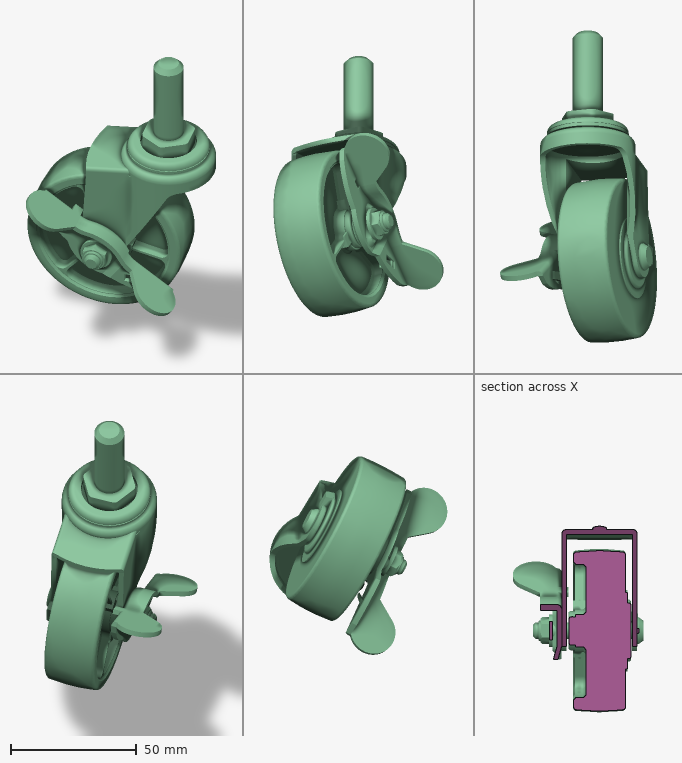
import cadquery as cq
import math


WHEEL_RADIUS = 32.5
STEM_TOP = 120 - WHEEL_RADIUS
AXLE_X = -24.0
AXLE_RADIUS = 3.2
SHEET = 2.0
TOLERANCE = 0.01

STEM_RADIUS = 6.0
STEM_CHAMFER = 1.9
HEX_FLATS = 19.1
HEX_CORNER_RADIUS = 2.3
HEX_TOP = 52.9

CAP_RADIUS = 16.3
CAP_TOP = 48.4
CAP_BOTTOM = 44.3
CAP_ROUND = 2.5
CAP_GROOVE_Z = 45.7
CAP_GROOVE = 0.4
CAP_NECK_RADIUS = 14.5
CAP_RECESS_RADIUS = 11.3
CAP_RECESS_DEPTH = 2.4

HEAD_RADIUS = 19.0
HEAD_TOP = 43.4
HEAD_BOTTOM = 36.0
HEAD_ROUND = 2.8
LEG_OUTER_Y = 15.0
LEG_INNER_Y = LEG_OUTER_Y - SHEET
LEG_END_RADIUS = 8.2
FRONT_X = -29.6
FRONT_Z = 38.5
NOSE_X = -32.4
ROOF_RISE = 0.17
LEG_SLOPE = 0.06
ROOF_END_X = -11.0
ROOF_BEND = 1.5
WAIST_START_X = -16.8
WAIST_TOP = 39.0
WAIST_FILLET = 4.9
SKIRT_X = 4.7
SKIRT_Z = 33.1
SKIRT_BEND = 5.4
LUG_HEIGHT = 7.7
LUG_ROUND = 1.2
LUG_TIP_X = -36.5
LUG_TIP_Y = 11.8
LUG_OUTER_X = -35.5
LUG_OUTER_Y = 15.4

WHEEL_HALF_WIDTH = 10.4
TREAD_EDGE_RADIUS = 31.8
TREAD_ROUND = 1.3
RIM_INNER_RADIUS = 28.0
RIM_STEP = 0.8
POCKET_OUTER_RADIUS = 26.9
POCKET_INNER_RADIUS = 8.4
POCKET_DEPTH = 4.2
POCKET_FLOOR_BEVEL = 1.0
POCKET_ROUND = 3.1
SPOKE_WIDTH = 1.0
SPOKE_COUNT = 3
SPOKE_ANGLE = 230
SPOKE_BLOCK_RADIUS = 12.0
SPOKE_BLOCK_WIDTH = 4.8
HUB_RADIUS = 7.8
HUB_FRONT_Y = -12.2
HUB_ROUND = 0.8
FLANGE_RADIUS = 16.2
FLANGE_Y = 11.2
HUB_DISC_RADIUS = 12.4
HUB_DISC_Y = 12.6
HUB_DISC_ROUND = 1.0

BOLT_HEAD_RADIUS = 5.4
BOLT_HEAD_Y = 17.6
BOLT_HEAD_TAPER = 2.0
BOLT_HEAD_INSET = 1.4
WASHER_RADIUS = 6.5
WASHER_THICKNESS = 1.4
NUT_FLATS = 9.4
NUT_CORNER_RADIUS = 5.5
NUT_HEIGHT = 3.4
COLLAR_RADIUS = 4.1
COLLAR_HEIGHT = 0.8
COLLAR_CHAMFER = 0.4
BOLT_TIP_Y = -26.4
BOLT_TIP_CHAMFER = 1.0

LEVER_BACK_Y = -LEG_OUTER_Y
LEVER_FRONT_Y = LEVER_BACK_Y - SHEET
FOLD_ROUND = 1.8
JOGGLE = 1.5
JOGGLE_X = -11.8
JOGGLE_Z = 1.3
JOGGLE_ANGLE = 56
JOGGLE_WIDTH = 3.1
PEDAL_TILT = 34
BRIM_START_X = -46.0
BRIM_START_Z = 24.8
BRIM_FRONT_Y = -23.5
LIFT_LENGTH = 17.5
PRESS_LENGTH = 18.2
ENTRY_LENGTH = 4.7
ARCH_LENGTH = 19.3
EXIT_LENGTH = 6.5
BRIM_CURL = 28
PEDAL_RADIUS = 9.2
PEDAL_NECK = 13.1
PEDAL_NECK_ANGLE = 39
LIFT_CENTER = (4.4, -25.2)
PRESS_CENTER = (12.6, -26.3)
TOE_END = (1.5, -15.4)
TOE_START = (-18.4, -11.4)
TOE_BULGE = (-8.3, -14.8)
HEEL_BULGE = (-32.9, -5.5)
HEEL_END = (-36.7, 1.7)
TAIL_BULGE = (-43.2, 9.2)
TAIL_END = (-47.0, 18.8)
CAM_HALF_LENGTH = 9.5
CAM_RADIUS = 3.5
CAM_HEIGHT = 1.5
STOP_TAB_START = 13.4
STOP_TAB_LENGTH = 3.8
STOP_TAB_Y = -12.2
STOP_NOTCH_DEPTH = 2.6
WINDOW_LEFT = -12.6
WINDOW_RIGHT = -5.3
WINDOW_TOP = -8.2
WINDOW_BOTTOM = -11.5
CATCH_TIP_Y = -13.9
CATCH_LEFT = -9.1
CATCH_RIGHT = -6.6
CATCH_THICKNESS = 1.2
CATCH_ROOT = 1.7
LEVER_REACH = 72


def front_plane(y):
    """Sketch plane at this Y: sketch x and y are X and Z, and it extrudes toward -Y."""
    return cq.Workplane("XZ", origin=(0, y, 0))


def axle_plane(y):
    """Like front_plane, with its origin on the axle."""
    return cq.Workplane("XZ", origin=(AXLE_X, y, 0))


def axle_cylinder(radius, y_back, y_front):
    return axle_plane(y_back).circle(radius).extrude(y_back - y_front)


def post(radius, z_bottom, z_top):
    return cq.Workplane("XY", origin=(0, 0, z_bottom)).circle(radius).extrude(z_top - z_bottom)


def make_stem():
    shaft = post(STEM_RADIUS, HEAD_TOP - SHEET, STEM_TOP).faces(">Z").chamfer(STEM_CHAMFER)
    seat_z = CAP_TOP - CAP_RECESS_DEPTH
    collar = (
        cq.Workplane("XY", origin=(0, 0, seat_z))
        .polygon(6, HEX_FLATS, circumscribed=True)
        .extrude(HEX_TOP - seat_z)
        .edges("|Z").fillet(HEX_CORNER_RADIUS)
    )
    return shaft.union(collar)


def make_race_cap():
    cap = post(CAP_RADIUS, CAP_BOTTOM, CAP_TOP).faces(">Z").edges().fillet(CAP_ROUND)
    groove = post(CAP_RADIUS, CAP_GROOVE_Z - CAP_GROOVE, CAP_GROOVE_Z)
    groove = groove.cut(post(CAP_RADIUS - CAP_GROOVE, HEAD_TOP, CAP_TOP))
    cap = cap.cut(groove)
    cap = cap.union(post(CAP_NECK_RADIUS, HEAD_TOP, CAP_BOTTOM))
    cap = cap.cut(post(CAP_RECESS_RADIUS, CAP_TOP - CAP_RECESS_DEPTH, CAP_TOP))
    return cap.cut(post(STEM_RADIUS, HEAD_TOP, CAP_TOP))


def roof_z(x):
    return FRONT_Z + ROOF_RISE * (x - FRONT_X)


def roof_block(half_width, drop):
    """Block under the sloped roof, lowered by drop, from the nose to inside the head."""
    corners = [
        (NOSE_X, -LEG_END_RADIUS),
        (ROOF_END_X, -LEG_END_RADIUS),
        (ROOF_END_X, roof_z(ROOF_END_X) - drop),
        (NOSE_X, roof_z(NOSE_X) - drop),
    ]
    return front_plane(half_width).polyline(corners).close().extrude(2 * half_width)


def waist_fillets():
    """Prism that rounds the inner corners where the walls meet the round head."""
    wall = (
        cq.Workplane("XY", origin=(0, 0, -LEG_END_RADIUS))
        .moveTo(WAIST_START_X, -LEG_OUTER_Y)
        .lineTo(ROOF_END_X, -LEG_OUTER_Y)
        .lineTo(ROOF_END_X, LEG_OUTER_Y)
        .lineTo(WAIST_START_X, LEG_OUTER_Y)
        .close()
        .extrude(WAIST_TOP + LEG_END_RADIUS)
    )
    corner_x = -math.sqrt(HEAD_RADIUS**2 - LEG_OUTER_Y**2)
    corners = cq.selectors.BoxSelector(
        (corner_x - TOLERANCE, -HEAD_RADIUS, 0), (corner_x + TOLERANCE, HEAD_RADIUS, WAIST_TOP)
    )
    prism = post(HEAD_RADIUS, -LEG_END_RADIUS, WAIST_TOP).union(wall)
    return prism.edges("|Z").edges(corners).fillet(WAIST_FILLET)


def fork_shell():
    """Folded sheet: a domed round head running into the roof and its two side walls."""
    head = post(HEAD_RADIUS, -LEG_END_RADIUS, HEAD_TOP).faces(">Z").edges().fillet(HEAD_ROUND)
    roof = roof_block(LEG_OUTER_Y, 0).faces(">Z").edges("not |Y").fillet(ROOF_BEND)
    outside = head.union(roof).union(waist_fillets())
    inside = post(HEAD_RADIUS - SHEET, -LEG_END_RADIUS, HEAD_TOP - SHEET)
    return outside.cut(inside).cut(roof_block(LEG_INNER_Y, SHEET))


def fork_side_outline():
    """Both legs and the head seen along Y, with the round leg end about the axle."""
    run = SKIRT_X - AXLE_X
    rear_angle = math.atan2(SKIRT_Z, run) - math.acos(LEG_END_RADIUS / math.hypot(run, SKIRT_Z))
    rear_x = AXLE_X + LEG_END_RADIUS * math.cos(rear_angle)
    rear_z = LEG_END_RADIUS * math.sin(rear_angle)
    edge_slope = (SKIRT_Z - rear_z) / (SKIRT_X - rear_x)
    corner_x = SKIRT_X + (HEAD_BOTTOM - SKIRT_Z) / edge_slope
    nose_bottom = roof_z(NOSE_X) - SHEET
    outline = (
        front_plane(HEAD_RADIUS)
        .moveTo(FRONT_X - LEG_SLOPE * FRONT_Z, 0)
        .threePointArc((AXLE_X, -LEG_END_RADIUS), (rear_x, rear_z))
        .lineTo(corner_x, HEAD_BOTTOM)
        .lineTo(HEAD_RADIUS, HEAD_BOTTOM)
        .lineTo(HEAD_RADIUS, HEAD_TOP)
        .lineTo(NOSE_X, HEAD_TOP)
        .lineTo(NOSE_X, nose_bottom)
        .lineTo(FRONT_X, nose_bottom)
        .close()
        .extrude(2 * HEAD_RADIUS)
    )
    skirt_bend = cq.selectors.BoxSelector(
        (corner_x - TOLERANCE, -HEAD_RADIUS, HEAD_BOTTOM - TOLERANCE),
        (corner_x + TOLERANCE, HEAD_RADIUS, HEAD_BOTTOM + TOLERANCE),
    )
    return outline.edges(skirt_bend).fillet(SKIRT_BEND)


def nose_trim():
    """Material ahead of the bowed front edge of the roof."""
    bottom = roof_z(NOSE_X) - SHEET
    return (
        cq.Workplane("XY", origin=(0, 0, bottom))
        .moveTo(FRONT_X, LEG_OUTER_Y)
        .threePointArc((NOSE_X, 0), (FRONT_X, -LEG_OUTER_Y))
        .lineTo(NOSE_X - SHEET, -LEG_OUTER_Y)
        .lineTo(NOSE_X - SHEET, LEG_OUTER_Y)
        .close()
        .extrude(HEAD_TOP - bottom)
    )


def make_fork():
    fork = fork_shell().intersect(fork_side_outline()).cut(nose_trim())
    fork = fork.cut(post(STEM_RADIUS, 0, HEAD_TOP))
    fork = fork.union(stop_lug())
    return fork.cut(axle_cylinder(AXLE_RADIUS, HEAD_RADIUS, -HEAD_RADIUS))


def stop_lug():
    """Small slanted ear on the front edge of the far leg."""
    corners = [
        (LUG_OUTER_X, LUG_OUTER_Y),
        (LUG_TIP_X, LUG_TIP_Y),
        (LUG_TIP_X + SHEET, LUG_TIP_Y),
        (LUG_TIP_X + 2 * SHEET, LEG_INNER_Y),
        (AXLE_X - LEG_END_RADIUS + SHEET, LEG_INNER_Y),
        (AXLE_X - LEG_END_RADIUS + SHEET, LUG_OUTER_Y),
    ]
    lug = cq.Workplane("XY").polyline(corners).close().extrude(LUG_HEIGHT)
    lug = lug.edges("|X and >Y and >Z").fillet(LUG_ROUND)
    return lug.cut(axle_cylinder(HUB_DISC_RADIUS, HUB_DISC_Y, 0))


def wheel_blank():
    """Turned wheel: crowned tread, plain flange behind, stepped face and hub in front."""
    w = WHEEL_HALF_WIDTH
    tread = (
        cq.Workplane("XY")
        .moveTo(0, -w)
        .lineTo(TREAD_EDGE_RADIUS, -w)
        .threePointArc((WHEEL_RADIUS, 0), (TREAD_EDGE_RADIUS, w))
        .lineTo(0, w)
        .close()
        .revolve(360, (0, 0, 0), (0, 1, 0))
        .edges("%CIRCLE").fillet(TREAD_ROUND)
        .translate((AXLE_X, 0, 0))
    )
    recess = axle_cylinder(RIM_INNER_RADIUS, -w + RIM_STEP, -w).faces(">Y").chamfer(RIM_STEP - TOLERANCE)
    flange = axle_cylinder(FLANGE_RADIUS, FLANGE_Y, w)
    disc = axle_cylinder(HUB_DISC_RADIUS, HUB_DISC_Y, FLANGE_Y)
    disc = disc.faces(">Y").edges().fillet(HUB_DISC_ROUND)
    hub = axle_cylinder(HUB_RADIUS, -w + RIM_STEP, HUB_FRONT_Y).faces("<Y").edges().fillet(HUB_ROUND)
    return tread.cut(recess).union(flange).union(disc).union(hub)


def wheel_pocket():
    """One pocket between two spokes, with a bevel around its floor."""
    half_gap = SPOKE_WIDTH / 2

    def on_spoke_side(radius, spoke_angle, side):
        angle = math.radians(spoke_angle) + side * math.asin(half_gap / radius)
        return radius * math.cos(angle), radius * math.sin(angle)

    def on_middle(radius):
        angle = math.radians(SPOKE_ANGLE + 180 / SPOKE_COUNT)
        return radius * math.cos(angle), radius * math.sin(angle)

    next_spoke = SPOKE_ANGLE + 360 / SPOKE_COUNT
    return (
        axle_plane(-WHEEL_HALF_WIDTH + RIM_STEP + POCKET_DEPTH)
        .moveTo(*on_spoke_side(POCKET_INNER_RADIUS, SPOKE_ANGLE, 1))
        .lineTo(*on_spoke_side(POCKET_OUTER_RADIUS, SPOKE_ANGLE, 1))
        .threePointArc(on_middle(POCKET_OUTER_RADIUS), on_spoke_side(POCKET_OUTER_RADIUS, next_spoke, -1))
        .lineTo(*on_spoke_side(POCKET_INNER_RADIUS, next_spoke, -1))
        .threePointArc(on_middle(POCKET_INNER_RADIUS), on_spoke_side(POCKET_INNER_RADIUS, SPOKE_ANGLE, 1))
        .close()
        .extrude(POCKET_DEPTH)
        .edges("|Y").fillet(POCKET_ROUND)
        .faces(">Y").chamfer(POCKET_FLOOR_BEVEL)
    )


def spoke_block():
    """Raised block where a spoke joins the hub."""
    length = SPOKE_BLOCK_RADIUS
    depth = RIM_STEP + POCKET_DEPTH
    return (
        axle_plane(-WHEEL_HALF_WIDTH + depth)
        .center(length / 2, 0)
        .rect(length, SPOKE_BLOCK_WIDTH)
        .extrude(depth)
    )


def about_axle(body, angle):
    """Turn counterclockwise as seen from -Y."""
    return body.rotate((AXLE_X, 0, 0), (AXLE_X, -1, 0), angle)


def make_wheel():
    wheel = wheel_blank()
    pocket = wheel_pocket()
    block = spoke_block()
    for i in range(SPOKE_COUNT):
        turn = i * 360 / SPOKE_COUNT
        wheel = wheel.cut(about_axle(pocket, turn))
        wheel = wheel.union(about_axle(block, SPOKE_ANGLE + turn))
    return wheel.cut(axle_cylinder(AXLE_RADIUS, HEAD_RADIUS, -HEAD_RADIUS))


def make_axle():
    cam_front = LEVER_FRONT_Y - CAM_HEIGHT
    washer_front = cam_front - WASHER_THICKNESS
    nut_front = washer_front - NUT_HEIGHT
    collar_front = nut_front - COLLAR_HEIGHT

    head = axle_cylinder(BOLT_HEAD_RADIUS, BOLT_HEAD_Y, LEG_OUTER_Y)
    head = head.faces(">Y").chamfer(BOLT_HEAD_TAPER, BOLT_HEAD_INSET)
    shank = axle_cylinder(AXLE_RADIUS, LEG_OUTER_Y, BOLT_TIP_Y).faces("<Y").chamfer(BOLT_TIP_CHAMFER)
    washer = axle_cylinder(WASHER_RADIUS, cam_front, washer_front)
    nut = (
        axle_plane(washer_front)
        .polygon(6, NUT_FLATS, circumscribed=True)
        .extrude(NUT_HEIGHT)
    )
    nut_turning = axle_cylinder(NUT_CORNER_RADIUS, washer_front, nut_front)
    nut_turning = nut_turning.faces("<Y").chamfer(NUT_CORNER_RADIUS - NUT_FLATS / 2)
    nut = nut.intersect(nut_turning)
    collar = axle_cylinder(COLLAR_RADIUS, nut_front, collar_front).faces("<Y").chamfer(COLLAR_CHAMFER)
    return head.union(shank).union(washer).union(nut).union(collar)


def brim_stations():
    """Start, then middle and end of each step along the upper edge of the brim.

    Each step has a length and a turn in degrees, positive to the left.  A
    station is its X, its Z and the heading of the brim there.
    """
    steps = [
        (LIFT_LENGTH, 0),
        (ENTRY_LENGTH, BRIM_CURL),
        (ARCH_LENGTH, -2 * BRIM_CURL),
        (EXIT_LENGTH, BRIM_CURL),
        (PRESS_LENGTH, 0),
    ]
    x, z, heading = BRIM_START_X, BRIM_START_Z, math.radians(-PEDAL_TILT)
    stations = [(x, z, heading)]
    for length, turn in steps:
        half_turn = math.radians(turn) / 2
        chord = length / 2
        if turn:
            chord *= math.sin(half_turn / 2) / (half_turn / 2)
        for _ in range(2):
            x += chord * math.cos(heading + half_turn / 2)
            z += chord * math.sin(heading + half_turn / 2)
            heading += half_turn
            stations.append((x, z, heading))
    return stations


def follow(path, points):
    """Continue a path along the remaining (middle, end) pairs of brim points."""
    last = len(points) - 1
    for i in range(1, last, 2):
        if i == 1 or i == last - 1:
            path = path.lineTo(*points[i + 1])
        else:
            path = path.threePointArc(points[i], points[i + 1])
    return path


def brim_points(depth):
    """Brim stations moved down by depth, square to the brim."""
    return [(x + depth * math.sin(h), z - depth * math.cos(h)) for x, z, h in brim_stations()]


def rounded_brim(back_y):
    """Brim over its full length, rounded along the fold at its back."""
    top = brim_points(0)
    bottom = brim_points(SHEET)[::-1]
    path = follow(front_plane(back_y).moveTo(*top[0]), top)
    path = follow(path.lineTo(*bottom[0]), bottom)
    brim = path.close().extrude(back_y - BRIM_FRONT_Y)

    def on_top(edge):
        middle = edge.positionAt(0.5)
        return min(math.hypot(middle.x - x, middle.z - z) for x, z in top) < TOLERANCE

    fold = brim.faces(">Y").edges().filter(on_top)
    return fold.fillet(FOLD_ROUND)


def pedal_plane(station):
    """Plane on top of the brim: sketch x runs along it and sketch y is Y."""
    x, z, heading = station
    c, s = math.cos(heading), math.sin(heading)
    return cq.Workplane(cq.Plane(origin=(x, 0, z), xDir=(c, 0, s), normal=(-s, 0, c)))


def make_pedal(station, center, neck_side):
    """Round pedal whose neck leads back to the brim on the given side (+1 or -1)."""
    along, y = center
    angle = math.radians(PEDAL_NECK_ANGLE)
    neck = [
        (along, y),
        (along + neck_side * PEDAL_RADIUS * math.cos(angle), y - PEDAL_RADIUS * math.sin(angle)),
        (along + neck_side * PEDAL_NECK, BRIM_FRONT_Y),
        (along, BRIM_FRONT_Y),
    ]
    disc = pedal_plane(station).center(along, y).circle(PEDAL_RADIUS).extrude(-SHEET)
    return disc.union(pedal_plane(station).polyline(neck).close().extrude(-SHEET))


def across_joggle():
    """Plane square to the joggle: sketch x runs toward the toe and sketch y is Y."""
    angle = math.radians(JOGGLE_ANGLE)
    c, s = math.cos(angle), math.sin(angle)
    return cq.Workplane(cq.Plane(origin=(JOGGLE_X, 0, JOGGLE_Z), xDir=(s, 0, -c), normal=(c, 0, s)))


def joggled_brim():
    """Brim that follows the heel back face, then steps forward to the toe back face."""
    toe_side = (
        across_joggle()
        .moveTo(LEVER_REACH / 2, 0)
        .rect(LEVER_REACH, LEVER_REACH)
        .extrude(LEVER_REACH, both=True)
    )
    heel = rounded_brim(LEVER_BACK_Y).cut(toe_side)
    toe = rounded_brim(LEVER_BACK_Y - JOGGLE).intersect(toe_side)
    return heel.union(toe)


def joggle_block(front_toe, front_heel):
    """Block whose back follows the joggled back face of the lever plate."""
    half = JOGGLE_WIDTH / 2
    toe_back = LEVER_BACK_Y - JOGGLE
    section = [
        (-LEVER_REACH, LEVER_BACK_Y),
        (-half, LEVER_BACK_Y),
        (half, toe_back),
        (LEVER_REACH, toe_back),
        (LEVER_REACH, front_toe),
        (half, front_toe),
        (-half, front_heel),
        (-LEVER_REACH, front_heel),
    ]
    return across_joggle().polyline(section).close().extrude(LEVER_REACH, both=True)


def lever_plate():
    under_brim = brim_points(SHEET)
    outline = (
        follow(front_plane(LEVER_BACK_Y).moveTo(*under_brim[0]), under_brim)
        .lineTo(*TOE_END)
        .threePointArc(TOE_BULGE, TOE_START)
        .threePointArc(HEEL_BULGE, HEEL_END)
        .threePointArc(TAIL_BULGE, TAIL_END)
        .close()
        .extrude(JOGGLE + SHEET)
    )
    return outline.intersect(joggle_block(LEVER_FRONT_Y - JOGGLE, LEVER_FRONT_Y))


def lever_cam():
    """Raised oblong with sloped rims, above and below the nut."""
    return (
        axle_plane(LEVER_FRONT_Y)
        .slot2D(2 * CAM_HALF_LENGTH, 2 * CAM_RADIUS, 90)
        .extrude(CAM_HEIGHT)
        .faces("<Y").chamfer(CAM_HEIGHT - TOLERANCE)
    )


def stop_tab():
    """Tab carried through the plate in line with the lifting pedal."""
    return (
        pedal_plane(brim_stations()[0])
        .moveTo(STOP_TAB_START, LEVER_FRONT_Y)
        .lineTo(STOP_TAB_START, STOP_TAB_Y)
        .lineTo(STOP_TAB_START + STOP_TAB_LENGTH, STOP_TAB_Y)
        .lineTo(STOP_TAB_START + STOP_TAB_LENGTH, LEVER_FRONT_Y)
        .close()
        .extrude(-SHEET)
    )


def stop_notch():
    """Relief in the plate just below the stop tab."""
    return (
        pedal_plane(brim_stations()[0])
        .workplane(offset=-SHEET)
        .moveTo(STOP_TAB_START, LEVER_FRONT_Y)
        .lineTo(STOP_TAB_START, LEVER_BACK_Y)
        .lineTo(STOP_TAB_START + STOP_TAB_LENGTH, LEVER_BACK_Y)
        .lineTo(STOP_TAB_START + STOP_TAB_LENGTH, LEVER_FRONT_Y)
        .close()
        .extrude(-STOP_NOTCH_DEPTH)
    )


def toe_window():
    return (
        front_plane(LEVER_BACK_Y)
        .moveTo((WINDOW_LEFT + WINDOW_RIGHT) / 2, (WINDOW_TOP + WINDOW_BOTTOM) / 2)
        .rect(WINDOW_RIGHT - WINDOW_LEFT, WINDOW_TOP - WINDOW_BOTTOM)
        .extrude(SHEET + JOGGLE)
    )


def toe_catch():
    """Tongue bent back from the right end of the window."""
    toe_back = LEVER_BACK_Y - JOGGLE
    tongue = [
        (WINDOW_RIGHT, toe_back - CATCH_ROOT),
        (CATCH_RIGHT, toe_back - CATCH_ROOT),
        (CATCH_LEFT, CATCH_TIP_Y),
        (CATCH_LEFT + CATCH_THICKNESS, CATCH_TIP_Y),
        (WINDOW_RIGHT, toe_back),
    ]
    return (
        cq.Workplane("XY", origin=(0, 0, WINDOW_BOTTOM))
        .polyline(tongue)
        .close()
        .extrude(WINDOW_TOP - WINDOW_BOTTOM)
    )


def make_brake_lever():
    stations = brim_stations()
    press_root = stations[-3]
    pedals = make_pedal(stations[0], LIFT_CENTER, 1)
    pedals = pedals.union(make_pedal(press_root, PRESS_CENTER, -1))
    ahead_of_fold = joggle_block(-LEVER_REACH, -LEVER_REACH).translate((0, -SHEET, 0))
    pedals = pedals.intersect(ahead_of_fold)
    lever = lever_plate().union(joggled_brim()).union(pedals).union(lever_cam())
    lever = lever.cut(stop_notch()).union(stop_tab())
    lever = lever.cut(toe_window()).union(toe_catch())
    return lever.cut(axle_cylinder(AXLE_RADIUS, HEAD_RADIUS, BOLT_TIP_Y))


stem = make_stem()
race_cap = make_race_cap()
fork = make_fork()
wheel = make_wheel()
axle = make_axle()
brake_lever = make_brake_lever()

result = cq.Compound.makeCompound([
    stem.val(),
    race_cap.val(),
    fork.val(),
    wheel.val(),
    axle.val(),
    brake_lever.val(),
])